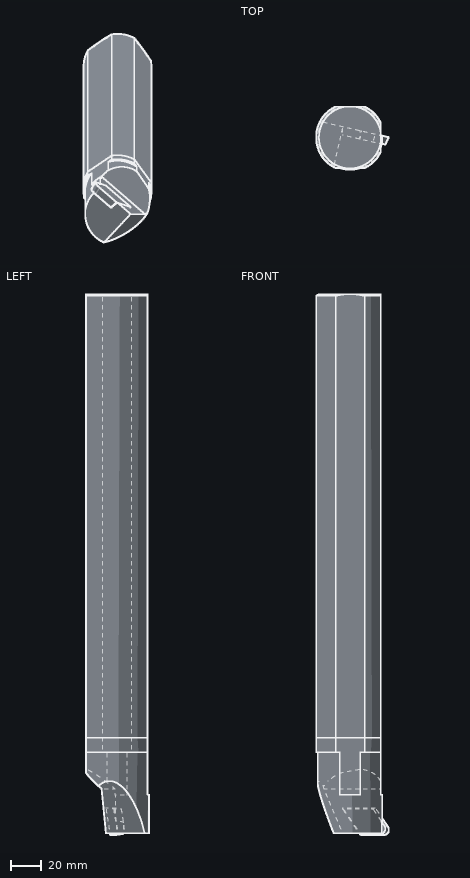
import cadquery as cq
import math

TOP_Z = 355.5
SPLIT_Z = 64.0
SHOULDER_Z = 54.5
FLAT_END_Z = 26.5
HEAD_BOTTOM_Z = 1.0

SHANK_RADIUS = 22.5
NECK_RADIUS = 21.5
FLAT_DISTANCE = 20.3
CHAMFER_WIDTH = 1.95
CHAMFER_HEIGHT = 1.15

HEAD_TURN = 13.0
FACE_OFFSET = 5.85
FACE_TOP_Z = 30.5
RUNOUT_ANGLE = 40.0
SLANT_TOP_Z = 35.5
SLANT_ANGLE = 23.5
CUT_REACH = 71.0

INSERT_REACH = 25.0
INSERT_SIDE = 22.0
INSERT_ANGLE = 55.0
NOSE_RADIUS = 3.5
INSERT_THICKNESS = 5.5
CLEARANCE_ANGLE = 7.0


def cylinder(radius, bottom, top):
    return cq.Workplane("XY").workplane(offset=bottom).circle(radius).extrude(top - bottom)


def flat_envelope(bottom, top):
    """Block bounded by the flats on +X, +Y and -Y; the -X side stays round."""
    length = CUT_REACH + FLAT_DISTANCE
    return (
        cq.Workplane("XY", origin=((FLAT_DISTANCE - CUT_REACH) / 2, 0, bottom))
        .rect(length, 2 * FLAT_DISTANCE)
        .extrude(top - bottom)
    )


def turned(shape):
    return shape.rotate((0, 0, 0), (0, 0, 1), -HEAD_TURN)


def make_shank():
    round_bar = cylinder(SHANK_RADIUS, SPLIT_Z, TOP_Z)
    round_bar = round_bar.faces(">Z").chamfer(CHAMFER_HEIGHT, CHAMFER_WIDTH)
    return round_bar.intersect(flat_envelope(SPLIT_Z, TOP_Z))


def make_face_cutter():
    """Removes the +Y half of the head, down from the sloping run-out."""
    run_out_rise = (CUT_REACH - FACE_OFFSET) * math.tan(math.radians(RUNOUT_ANGLE))
    cutter = (
        cq.Workplane("YZ")
        .moveTo(FACE_OFFSET, -CUT_REACH)
        .lineTo(FACE_OFFSET, FACE_TOP_Z)
        .lineTo(CUT_REACH, FACE_TOP_Z + run_out_rise)
        .lineTo(CUT_REACH, -CUT_REACH)
        .close()
        .extrude(CUT_REACH, both=True)
    )
    return turned(cutter)


def make_slant_cutter():
    """Wedge that slants the -X back of the head in towards the bottom."""
    slant_run = SLANT_TOP_Z * math.tan(math.radians(SLANT_ANGLE))
    cutter = (
        cq.Workplane("XZ")
        .moveTo(-NECK_RADIUS, SLANT_TOP_Z)
        .lineTo(-NECK_RADIUS + slant_run, 0)
        .lineTo(-CUT_REACH, 0)
        .lineTo(-CUT_REACH, SLANT_TOP_Z)
        .close()
        .extrude(CUT_REACH, both=True)
    )
    return turned(cutter)


def make_insert():
    """Rhombus standing in the rake face, with one long edge along the bottom."""
    angle = math.radians(INSERT_ANGLE)
    corner_x = INSERT_REACH + NOSE_RADIUS * (1 / math.tan(angle / 2) - 1)
    lean = INSERT_SIDE * math.cos(angle)
    height = INSERT_SIDE * math.sin(angle)
    outline = [
        (corner_x, 0),
        (corner_x - INSERT_SIDE, 0),
        (corner_x - INSERT_SIDE - lean, height),
        (corner_x - lean, height),
    ]
    insert = (
        cq.Workplane("XZ", origin=(0, FACE_OFFSET, 0))
        .polyline(outline)
        .close()
        .extrude(INSERT_THICKNESS, taper=CLEARANCE_ANGLE)
    )
    insert = insert.edges(">X").fillet(NOSE_RADIUS)
    return turned(insert)


def make_head(insert):
    collar = cylinder(SHANK_RADIUS, SHOULDER_Z, SPLIT_Z)
    neck = cylinder(NECK_RADIUS, FLAT_END_Z, SHOULDER_Z)
    flatted = collar.union(neck).intersect(flat_envelope(FLAT_END_Z, SPLIT_Z))
    nose = cylinder(NECK_RADIUS, HEAD_BOTTOM_Z, FLAT_END_Z)
    head = flatted.union(nose)
    head = head.cut(make_face_cutter()).cut(make_slant_cutter())
    return head.cut(insert)


shank = make_shank()
cutting_insert = make_insert()
head = make_head(cutting_insert)

result = cq.Compound.makeCompound([shank.val(), head.val(), cutting_insert.val()])